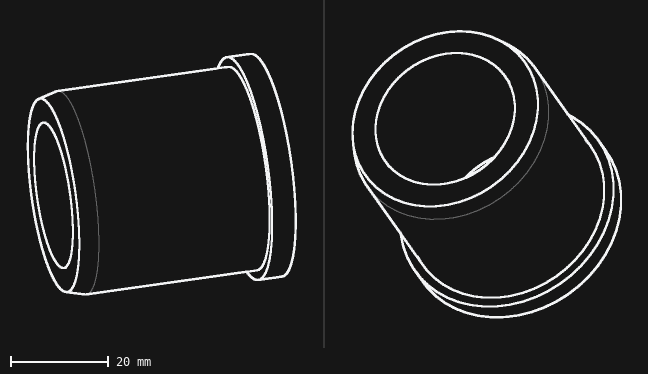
import cadquery as cq
import math

flange_diameter = 46.0
flange_thickness = 5.0
body_diameter = 42.0
bore_diameter = 30.0
total_length = 45.0

taper_slant_length = 4.0
taper_angle = math.radians(15)

flange_radius = flange_diameter / 2
body_radius = body_diameter / 2
bore_radius = bore_diameter / 2
tip_radius = body_radius - taper_slant_length * math.sin(taper_angle)

shoulder_y = 0.0
flange_end_y = shoulder_y + flange_thickness
tip_y = flange_end_y - total_length
taper_end_y = tip_y + taper_slant_length * math.cos(taper_angle)


def bushing():
    """Revolve the half section of the wall, drawn on the -X side, about the Y axis."""
    half_section = (
        cq.Workplane("XY")
        .moveTo(-bore_radius, tip_y)
        .lineTo(-tip_radius, tip_y)
        .lineTo(-body_radius, taper_end_y)
        .lineTo(-body_radius, shoulder_y)
        .lineTo(-flange_radius, shoulder_y)
        .lineTo(-flange_radius, flange_end_y)
        .lineTo(-bore_radius, flange_end_y)
        .close()
    )
    return half_section.revolve(360, (0, 0, 0), (0, 1, 0))


result = bushing()